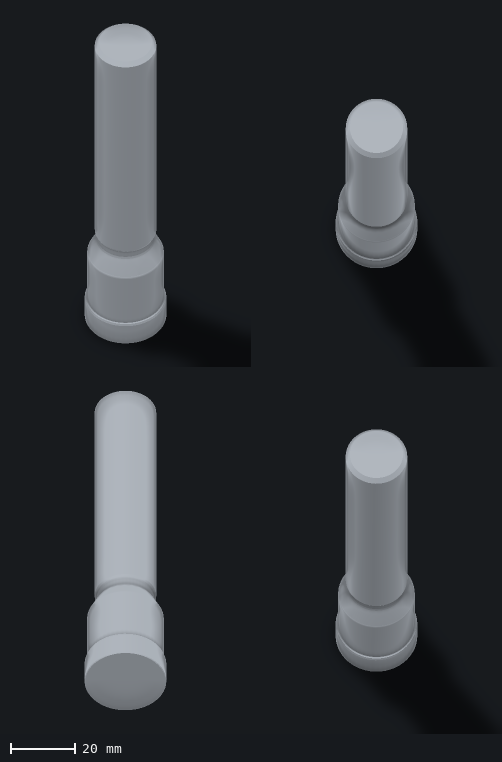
import cadquery as cq

total_height = 120.6
base_diameter = 25.5
base_radius = base_diameter / 2
base_height = 8.6
body_radius = 12.0
shank_diameter = 19.2
shank_radius = shank_diameter / 2
neck_radius = 8.9

base_top_chamfer_height = 0.7
base_top_chamfer_width = 0.2
base_bottom_chamfer = 0.2
shank_top_chamfer = 1.3
shank_lower_chamfer_height = 0.7
shank_lower_chamfer_width = 0.4

body_top = 27.9
shoulder_blend_height = 0.7
shoulder_bottom = body_top + shoulder_blend_height
shoulder_bottom_radius = 11.7
shoulder_top = 34.0
shoulder_top_radius = 9.2
shoulder_bulge = 0.1
neck_bottom = 34.7
neck_top = 36.5
neck_blend_top = 37.3
shank_bottom = neck_blend_top + shank_lower_chamfer_height


def make_base():
    """Turned base disc with a chamfer on each rim."""
    profile = (
        cq.Workplane("XZ")
        .lineTo(base_radius - base_bottom_chamfer, 0)
        .lineTo(base_radius, base_bottom_chamfer)
        .lineTo(base_radius, base_height - base_top_chamfer_height)
        .lineTo(base_radius - base_top_chamfer_width, base_height)
        .lineTo(0, base_height)
        .close()
    )
    return profile.revolve(360, (0, 0, 0), (0, 1, 0))


def make_pin():
    """Turned pin standing on the base: body, bowed shoulder, neck and shank."""
    shoulder_middle = (
        (shoulder_bottom_radius + shoulder_top_radius) / 2 + shoulder_bulge,
        (shoulder_bottom + shoulder_top) / 2,
    )
    profile = (
        cq.Workplane("XZ")
        .moveTo(0, base_height)
        .lineTo(body_radius, base_height)
        .lineTo(body_radius, body_top)
        .tangentArcPoint((shoulder_bottom_radius, shoulder_bottom), relative=False)
        .threePointArc(shoulder_middle, (shoulder_top_radius, shoulder_top))
        .lineTo(neck_radius, neck_bottom)
        .lineTo(neck_radius, neck_top)
        .tangentArcPoint((shank_radius - shank_lower_chamfer_width, neck_blend_top), relative=False)
        .lineTo(shank_radius, shank_bottom)
        .lineTo(shank_radius, total_height - shank_top_chamfer)
        .lineTo(shank_radius - shank_top_chamfer, total_height)
        .lineTo(0, total_height)
        .close()
    )
    return profile.revolve(360, (0, 0, 0), (0, 1, 0))


base = make_base()
pin = make_pin()

result = cq.Compound.makeCompound([base.val(), pin.val()])